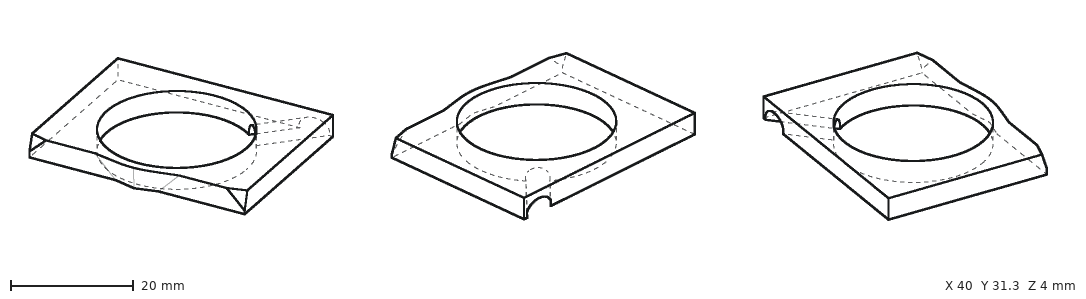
import cadquery as cq
import math

width = 40.0
depth = 30.0
thickness = 4.0

bore_diameter = 26.0
front_wall = 0.5
bore_y = front_wall + bore_diameter / 2

nose_top_half_width = 7.85
nose_top_length = 1.3
nose_bottom_half_width = 3.95
nose_bottom_length = 0.95
nose_overlap = 0.2

left_facet_width = 3.1
left_facet_drop = 2.9
right_facet_width = 3.35
right_facet_drop = 3.3
facet_depth = 0.9

channel_diameter = 4.0
channel_axis_z = 0.55
channel_angle = 45.0


def nose_half(side):
    """Half of the nose: a straight bottom edge blending to a curved top edge."""
    flank_slope = nose_top_length / nose_top_half_width
    bottom = (
        cq.Workplane("XY")
        .moveTo(0, nose_overlap)
        .lineTo(side * nose_bottom_half_width, nose_overlap)
        .lineTo(side * nose_bottom_half_width, 0)
        .lineTo(0, -nose_bottom_length)
        .close()
    )
    top = (
        cq.Workplane("XY", origin=(0, 0, thickness))
        .moveTo(0, nose_overlap)
        .lineTo(side * nose_top_half_width, nose_overlap)
        .lineTo(side * nose_top_half_width, 0)
        .spline(
            [(0, -nose_top_length)],
            tangents=[(-side, -flank_slope), (-side, 0)],
            includeCurrent=True,
        )
        .close()
    )
    return cq.Workplane(cq.Solid.makeLoft([bottom.val(), top.val()], True))


def corner_facet(side, facet_width, facet_drop):
    """Tetrahedron that cuts a sloping facet off one top front corner."""
    corner = cq.Vector(side * width / 2, 0, thickness)
    along_front = corner - cq.Vector(side * facet_width, 0, 0)
    along_side = corner + cq.Vector(0, facet_depth, 0)
    below = corner - cq.Vector(0, 0, facet_drop)
    triangles = [
        (corner, along_front, along_side),
        (corner, along_side, below),
        (corner, below, along_front),
        (along_front, below, along_side),
    ]
    faces = [cq.Face.makeFromWires(cq.Wire.makePolygon(list(t), close=True)) for t in triangles]
    return cq.Workplane(cq.Solid.makeSolid(cq.Shell.makeShell(faces)))


def corner_channel():
    """Cylinder lying diagonally, open through the underside of the plate."""
    angle = math.radians(channel_angle)
    direction = cq.Vector(math.cos(angle), math.sin(angle), 0)
    start = cq.Vector(0, bore_y, channel_axis_z)
    return cq.Workplane(cq.Solid.makeCylinder(channel_diameter / 2, width, start, direction))


plate = cq.Workplane("XY").box(width, depth, thickness, centered=(True, False, False))
plate = plate.union(nose_half(-1)).union(nose_half(1))
plate = plate.cut(corner_facet(-1, left_facet_width, left_facet_drop))
plate = plate.cut(corner_facet(1, right_facet_width, right_facet_drop))

bore = cq.Workplane("XY").center(0, bore_y).circle(bore_diameter / 2).extrude(thickness)
result = plate.cut(bore).cut(corner_channel())